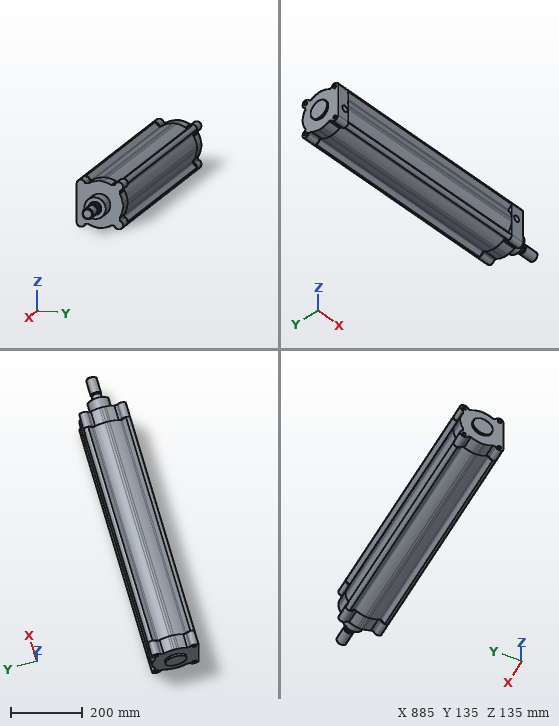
import cadquery as cq

rear_cap_start = 6.0
rear_cap_end = 49.0
front_cap_start = 720.0
front_cap_end = 766.0
collar_end = 812.0
lip_end = 815.0
rod_end = 885.0

overall_width = 135.0
half_width = overall_width / 2
barrel_radius = 67.0
corner_diameter = 26.0
corner_radius = corner_diameter / 2
corner_offset = half_width - corner_radius
neck_width = 116.0
neck_offset = neck_width / 2
neck_fillet = 3.5
rail_fillet = 3.0
corner_signs = [(y, z) for y in (-1, 1) for z in (-1, 1)]

cap_ridge_base_width = 19.0
cap_ridge_top_width = 8.0
tube_ridge_base_width = 13.0
tube_ridge_top_width = 0

bolt_hole_diameter = 11.0
bolt_hole_depth = 18.0
port_diameter = 20.0
port_depth = 18.0
port_height = 15.0
rear_port_x = 34.0
front_port_x = 740.0

collar_radius = 31.0
lip_radius = 19.0
rod_radius = 16.0
flat_offset = 13.0
flat_start = 818.0
neck_end = 832.0
groove_radius = 13.0
groove_end = 836.0
thread_diameter = 31.0
thread_chamfer = 3.0


def section(x):
    """Workplane across the axis at x; its local axes are Y and Z."""
    return cq.Workplane("YZ", origin=(x, 0, 0))


def disc(start, end, radius):
    return section(start).circle(radius).extrude(end - start)


def ridges(start, end, base_width, top_width, angles):
    """Low ridges that rise from the barrel to half_width, one at each angle about the axis."""
    base = base_width / 2
    top = top_width / 2
    foot = (barrel_radius**2 - base**2) ** 0.5
    outline = [(-base, 0), (-base, foot), (-top, half_width)]
    if top > 0:
        outline.append((top, half_width))
    outline += [(base, foot), (base, 0)]
    ridge = section(start).polyline(outline).close().extrude(end - start)
    return [ridge.rotate((0, 0, 0), (1, 0, 0), angle) for angle in angles]


def fillet_long_edges(body, places, radius):
    """Fillet the edges along X that pass through the given (y, z) places."""
    margin = 0.4
    bounds = body.val().BoundingBox()
    for y, z in places:
        picker = cq.selectors.BoxSelector(
            (bounds.xmin, y - margin, z - margin), (bounds.xmax, y + margin, z + margin)
        )
        body = body.edges("|X").edges(picker).fillet(radius)
    return body


def make_cap_block(start, end):
    """Barrel with corner lobes, flat necks beside the lobes and a flat port face on -Y."""
    length = end - start
    block = section(start).rect(neck_width, neck_width).extrude(length)
    lobe_centres = [(y * corner_offset, z * corner_offset) for y, z in corner_signs]
    block = block.union(section(start).pushPoints(lobe_centres).circle(corner_radius).extrude(length))

    inset = neck_offset - corner_offset
    reach = corner_offset - (corner_radius**2 - inset**2) ** 0.5
    concave = [(y * reach, z * neck_offset) for y, z in corner_signs]
    concave += [(neck_offset, z * reach) for z in (-1, 1)]
    block = fillet_long_edges(block, concave, neck_fillet)

    block = block.union(disc(start, end, barrel_radius))
    for ridge in ridges(start, end, cap_ridge_base_width, cap_ridge_top_width, (0, 180, -90)):
        block = block.union(ridge)
    port_face = section(start).center(-half_width / 2, 0).rect(half_width, 2 * corner_offset)
    return block.union(port_face.extrude(length))


def port(x, z):
    """Blind port drilled into the -Y face."""
    return cq.Workplane("XZ", origin=(x, -half_width, z)).circle(port_diameter / 2).extrude(-port_depth)


def make_rear_cap():
    cap = make_cap_block(rear_cap_start, rear_cap_end)
    cap = cap.union(disc(0, rear_cap_start, collar_radius))
    hole_centres = [(y * corner_offset, z * corner_offset) for y, z in corner_signs]
    holes = section(rear_cap_start).pushPoints(hole_centres).circle(bolt_hole_diameter / 2)
    cap = cap.cut(holes.extrude(bolt_hole_depth))
    return cap.cut(port(rear_port_x, -port_height))


def make_front_cap():
    cap = make_cap_block(front_cap_start, front_cap_end)
    cap = cap.union(disc(front_cap_end, collar_end, collar_radius))
    cap = cap.union(disc(collar_end, lip_end, lip_radius))
    cap = cap.cut(disc(front_cap_start, lip_end, rod_radius))
    return cap.cut(port(front_port_x, port_height))


def make_tube():
    """Round barrel with a diagonal rail, quarter-round at its outer edge, on each corner."""
    length = front_cap_start - rear_cap_end
    tube = disc(rear_cap_end, front_cap_start, barrel_radius)
    arc_middle = corner_offset + corner_radius * 0.5**0.5
    rail_run = half_width / 2
    for y, z in corner_signs:
        rail = (
            section(rear_cap_end)
            .moveTo(y * half_width, z * corner_offset)
            .threePointArc((y * arc_middle, z * arc_middle), (y * corner_offset, z * half_width))
            .lineTo(y * (corner_offset - rail_run), z * (half_width - rail_run))
            .lineTo(y * (half_width - rail_run), z * (corner_offset - rail_run))
            .close()
            .extrude(length)
        )
        tube = tube.union(rail)

    half_sum = (barrel_radius**2 / 2 - corner_radius**2 / 4) ** 0.5
    far = half_sum + corner_radius / 2
    near = half_sum - corner_radius / 2
    rail_roots = [(y * far, z * near) for y, z in corner_signs]
    rail_roots += [(y * near, z * far) for y, z in corner_signs]
    tube = fillet_long_edges(tube, rail_roots, rail_fillet)

    angles = (0, 90, 180, 270)
    for ridge in ridges(rear_cap_end, front_cap_start, tube_ridge_base_width, tube_ridge_top_width, angles):
        tube = tube.union(ridge)
    return tube


def make_rod():
    """Plain rod with two wrench flats, a relief groove and a chamfered thread stub."""
    rod = disc(front_cap_start, neck_end, rod_radius)
    for side in (-1, 1):
        flat_cut = section(flat_start).center(side * (flat_offset + rod_radius), 0)
        rod = rod.cut(flat_cut.rect(2 * rod_radius, 2 * rod_radius).extrude(neck_end - flat_start))
    rod = rod.union(disc(neck_end, groove_end, groove_radius))
    thread = disc(groove_end, rod_end, thread_diameter / 2).faces(">X").chamfer(thread_chamfer)
    return rod.union(thread)


rear_cap = make_rear_cap()
tube = make_tube()
front_cap = make_front_cap()
rod = make_rod()

result = cq.Compound.makeCompound([rear_cap.val(), tube.val(), front_cap.val(), rod.val()])